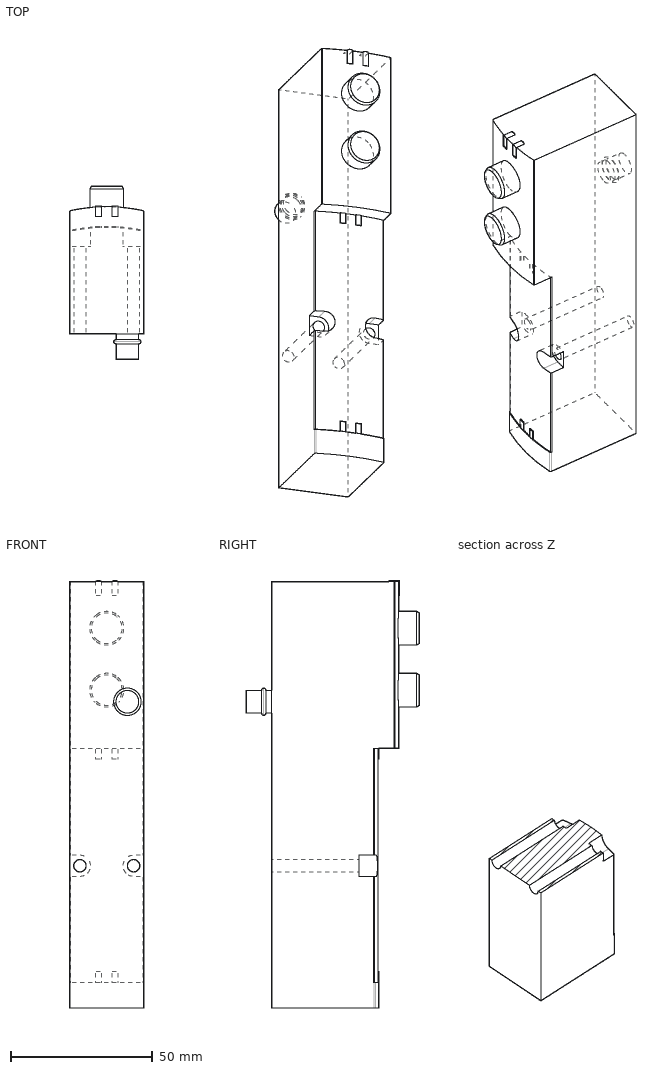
import cadquery as cq

WIDTH = 26.2
TOTAL_HEIGHT = 151.18

HEAD_HEIGHT = 59.0
HEAD_SIDE_DEPTH = 43.6
VALVE_SIDE_DEPTH = 36.3
BACK_CROWN = 1.4
BASE_HEIGHT = 9.1
BASE_EXTRA_DEPTH = 0.3
BACK_EDGE_CHAMFER = 0.3
BASE_EDGE_FILLET = 0.5

RIB_WIDTH = 2.1
RIB_SPACING = 5.9
RIB_RISE = 0.4
RIB_BACK_RISE = 0.2
RIB_TOP_LENGTH = 3.7
RIB_BACK_LENGTH = 5.0
VALVE_RIB_LENGTH = 3.8

PORT_DIAMETER = 12.0
PORT_END_Y = 52.3
PORT_CHAMFER_LENGTH = 1.0
PORT_CHAMFER_DEPTH = 0.6
PORT_DROPS = (16.5, 38.4)

PLUG_DIAMETER = 8.0
PLUG_LENGTH = 9.0
PLUG_X = 7.3
PLUG_DROP = 42.5
COLLAR_DIAMETER = 9.7
COLLAR_WIDTH = 1.5
COLLAR_Y = -2.75

HOLE_DIAMETER = 4.3
HOLE_SPACING = 19.0
HOLE_Z = 50.3
SEAT_WIDTH = 7.5
SEAT_Y = 31.0

HEAD_TOP = TOTAL_HEIGHT - RIB_RISE
HEAD_BOTTOM = HEAD_TOP - HEAD_HEIGHT
HEAD_BACK = HEAD_SIDE_DEPTH + BACK_CROWN
VALVE_BACK = VALVE_SIDE_DEPTH + BACK_CROWN


def bowed_block(side_depth, back, z_bottom, z_top):
    """Block with a flat front and a back that bows outward to y = back."""
    return (
        cq.Workplane("XY")
        .workplane(offset=z_bottom)
        .moveTo(-WIDTH / 2, 0)
        .lineTo(WIDTH / 2, 0)
        .lineTo(WIDTH / 2, side_depth)
        .threePointArc((0, back), (-WIDTH / 2, side_depth))
        .close()
        .extrude(z_top - z_bottom)
    )


def box(x_center, width, y_range, z_range):
    """Box centred on x_center and spanning the given Y and Z ranges."""
    return cq.Workplane("XY").box(
        width, y_range[1] - y_range[0], z_range[1] - z_range[0], centered=(True, False, False)
    ).translate((x_center, y_range[0], z_range[0]))


def rod(x, z, diameter, y_start, y_end):
    """Cylinder along +Y from y_start to y_end."""
    axis_start = cq.Vector(x, y_start, z)
    solid = cq.Solid.makeCylinder(diameter / 2, y_end - y_start, axis_start, cq.Vector(0, 1, 0))
    return cq.Workplane(obj=solid)


def bodies():
    """Deep head on top of a shallower valve body, which stands on a slightly deeper base."""
    head = bowed_block(HEAD_SIDE_DEPTH, HEAD_BACK, HEAD_BOTTOM, HEAD_TOP)
    valve = bowed_block(VALVE_SIDE_DEPTH, VALVE_BACK, BASE_HEIGHT, HEAD_BOTTOM)
    base = bowed_block(VALVE_SIDE_DEPTH + BASE_EXTRA_DEPTH, VALVE_BACK + BASE_EXTRA_DEPTH, 0, BASE_HEIGHT)
    head = head.edges("|Z and (not <Y)").chamfer(BACK_EDGE_CHAMFER)
    valve = valve.edges("|Z and (not <Y)").chamfer(BACK_EDGE_CHAMFER)
    base = base.edges("|Z and (not <Y)").fillet(BASE_EDGE_FILLET)
    return head.union(valve).union(base)


def head_rib(x, y_back):
    """Vertical bar on the head whose top is a low arch across its width."""
    z_bottom = HEAD_TOP - RIB_BACK_LENGTH
    return (
        cq.Workplane("XZ", origin=(x, y_back, 0))
        .moveTo(-RIB_WIDTH / 2, z_bottom)
        .lineTo(RIB_WIDTH / 2, z_bottom)
        .lineTo(RIB_WIDTH / 2, HEAD_TOP)
        .threePointArc((0, TOTAL_HEIGHT), (-RIB_WIDTH / 2, HEAD_TOP))
        .close()
        .extrude(RIB_TOP_LENGTH)
    )


def ribs(body):
    """A pair of ribs on the head, and on the valve back at its lower and upper ends."""
    rib_back = HEAD_BACK + RIB_BACK_RISE
    valve_y = (VALVE_SIDE_DEPTH, VALVE_BACK + BASE_EXTRA_DEPTH)
    for side in (-1, 1):
        x = side * RIB_SPACING / 2
        body = body.union(head_rib(x, rib_back))
        for z in (BASE_HEIGHT, HEAD_BOTTOM - VALVE_RIB_LENGTH):
            body = body.union(box(x, RIB_WIDTH, valve_y, (z, z + VALVE_RIB_LENGTH)))
    return body


def ports(body):
    """Two round stubs with bevelled ends, one above the other."""
    for drop in PORT_DROPS:
        port = rod(0, HEAD_TOP - drop, PORT_DIAMETER, HEAD_SIDE_DEPTH, PORT_END_Y)
        port = port.faces(">Y").edges().chamfer(PORT_CHAMFER_LENGTH, PORT_CHAMFER_DEPTH)
        body = body.union(port)
    return body


def plug(body):
    """Round barrel with a half-round bead running around it."""
    z = HEAD_TOP - PLUG_DROP
    barrel = rod(PLUG_X, z, PLUG_DIAMETER, -PLUG_LENGTH, 0)
    bead_radius = COLLAR_WIDTH / 2
    ring_radius = COLLAR_DIAMETER / 2 - bead_radius
    collar_center = cq.Vector(PLUG_X, COLLAR_Y, z)
    collar = cq.Solid.makeTorus(ring_radius, bead_radius, collar_center, cq.Vector(0, 1, 0))
    return body.union(barrel).union(cq.Workplane(obj=collar))


def mounting_holes(body):
    """Through holes whose round screw seats run out through the nearest side face."""
    slot_length = (WIDTH - HOLE_SPACING) / 2
    slot_z = (HOLE_Z - SEAT_WIDTH / 2, HOLE_Z + SEAT_WIDTH / 2)
    for side in (-1, 1):
        x = side * HOLE_SPACING / 2
        body = body.cut(rod(x, HOLE_Z, HOLE_DIAMETER, 0, VALVE_BACK))
        body = body.cut(rod(x, HOLE_Z, SEAT_WIDTH, SEAT_Y, VALVE_BACK))
        slot_x = x + side * slot_length / 2
        body = body.cut(box(slot_x, slot_length, (SEAT_Y, VALVE_BACK), slot_z))
    return body


result = mounting_holes(plug(ports(ribs(bodies()))))